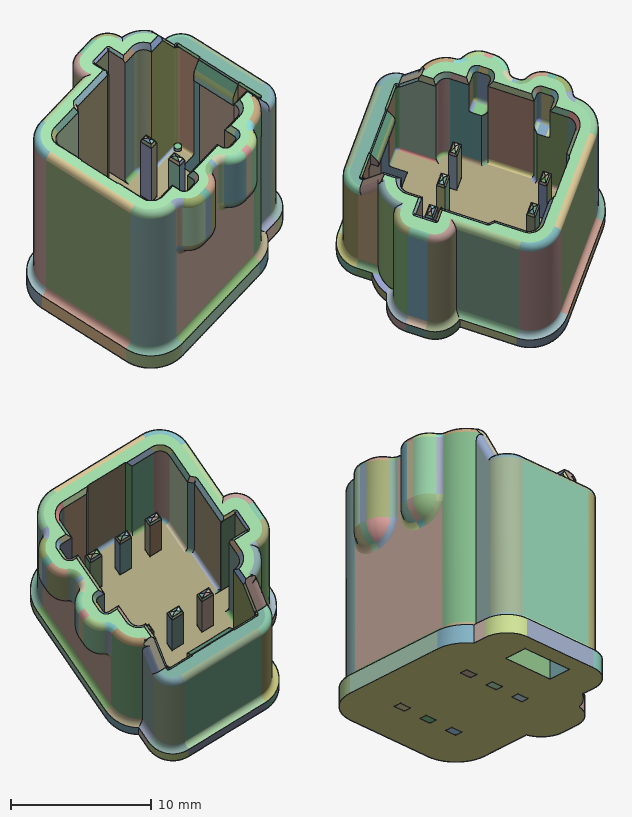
import cadquery as cq
import math

height = 18.0
rim_round = 0.5

flange_height = 1.5
flange_step = 0.5
foot_round = flange_step

main_half_x = 6.15
main_half_y = 6.85
main_corner = 2.35

tower_half_x = 4.87
tower_back = 9.7
tower_corner = 1.6
tower_top = 15.12
tower_slope = 60.0
slope_foot = tower_back - tower_corner
slope_head = slope_foot - (height - tower_top) / math.tan(math.radians(tower_slope))

ear_left = -7.75
ear_y = 2.58
ear_half_y = 2.33
ear_corner = 1.6

lobe_right = 7.35
lobe_y = 2.4
lobe_half_y = 1.92
lobe_corner = 1.6
lobe_bottom = 11.25
lobe_blend = 0.5

floor_z = 3.0
floor_round = 0.3
cavity_half_x = 4.6
cavity_half_y = 5.25
cavity_corner = 0.8
lead_in_width = 0.3
lead_in_height = 0.5

relief_depth = 0.35
side_relief_half = 1.75
front_relief_half = 1.6

pocket_half_x = 3.72
pocket_back = 8.24
pocket_corner = 0.28
pocket_chamfer = 0.15
pocket_floor_round = 0.2
post_height = 0.3

slot_left = -6.1
slot_half_y = 0.75
slot_chamfer = 0.2

groove_right = 5.75
groove_half_y = 0.655
groove_corner = 0.3
groove_floor = 12.25

latch_half_x = 1.78
latch_nose = 7.65
latch_bottom = 13.05
latch_ramp_foot = 8.33
latch_nose_round = 1.2
window_half_x = 2.19
window_front = 6.86
window_back = 8.85

pin_width = 1.0
pin_thickness = 0.64
pin_top = 10.0
pin_tip_inset = 0.1
pin_tip_inset_height = 0.3
pin_ridge_width = 0.15
pin_ridge_thickness = 0.03
pin_ridge_height = 0.15
pin_pitch = 2.54
pin_row_y = 3.4


fit_gap = 0.01


def block(x0, x1, y0, y1, z0, z1):
    """Axis-aligned box between opposite corners."""
    return cq.Workplane("XY").box(x1 - x0, y1 - y0, z1 - z0, centered=False).translate((x0, y0, z0))


def rounded_block(x0, x1, y0, y1, z0, z1, radius, corners="|Z"):
    """Box with the chosen vertical edges rounded."""
    return block(x0, x1, y0, y1, z0, z1).edges(corners).fillet(radius)


def flare(x0, x1, y0, y1, top, width, depth, radius=0.0):
    """Frustum that widens a pocket by `width` at height `top`."""
    sketch = cq.Sketch().rect(x1 - x0, y1 - y0)
    if radius:
        sketch = sketch.vertices().fillet(radius)
    angle = math.degrees(math.atan2(width, depth))
    base = cq.Workplane("XY", origin=((x0 + x1) / 2, (y0 + y1) / 2, top - depth))
    return base.placeSketch(sketch).extrude(depth, taper=-angle)


def footprint(grow, main_top, tower_height):
    """Main block, ear and tower joined, with their walls moved outward by `grow`."""
    half_x = main_half_x + grow
    half_y = main_half_y + grow
    main = rounded_block(-half_x, half_x, -half_y, half_y, 0, main_top, main_corner + grow)
    half_y = ear_half_y + grow
    ear = rounded_block(ear_left - grow, 0, ear_y - half_y, ear_y + half_y, 0, main_top,
                        ear_corner + grow, "|Z and <X")
    half_x = tower_half_x + grow
    tower = rounded_block(-half_x, half_x, 0, tower_back + grow, 0, tower_height,
                          tower_corner + grow, "|Z and >Y")
    return main.union(ear).union(tower)


def walls_and_flange():
    """Outer walls on their flange, with the concave fillet between them."""
    walls = footprint(0, height, tower_top)
    shape = footprint(flange_step, flange_height, flange_height).union(walls)

    def meets_walls(edge):
        middle = edge.positionAt(0.5)
        on_top = abs(middle.z - flange_height) < fit_gap
        return on_top and walls.val().distance(cq.Vertex.makeVertex(*middle.toTuple())) < fit_gap

    joint = [edge for edge in shape.edges("#Z").vals() if meets_walls(edge)]
    return shape.newObject(joint).fillet(foot_round - fit_gap)


def above_slope():
    """Space behind the slope that runs from the tower top up to the rim."""
    outline = [(slope_head, height), (slope_foot, tower_top), (slope_foot, height)]
    return cq.Workplane("YZ").polyline(outline).close().extrude(tower_half_x, both=True)


def slope_block():
    """Sloped block that joins the tower top to the rim, rounded along its sides."""
    body = block(-tower_half_x, tower_half_x, 0, slope_foot, flange_height, height)
    body = body.cut(above_slope())
    sides = body.edges("not (|X or |Y or |Z)").vals() + body.faces(">Z").edges("|Y").vals()
    return body.newObject(sides).fillet(rim_round)


def lobe(center_y):
    """Lobe on the +X wall with a rounded lower end."""
    body = rounded_block(0, lobe_right, center_y - lobe_half_y, center_y + lobe_half_y,
                         lobe_bottom, height, lobe_corner, "|Z and >X")
    return body.faces("<Z").edges("not <X").fillet(lobe_corner - fit_gap)


def on_lobe_joint(edge):
    """Whether an edge is where a lobe meets the main wall, below the rim."""
    middle = edge.positionAt(0.5)
    on_wall = abs(middle.x - main_half_x) < fit_gap
    below_rim = lobe_bottom - lobe_corner < middle.z < height - fit_gap
    return on_wall and abs(middle.y) < lobe_y + lobe_half_y and below_rim


def outside():
    """Housing without its cavity."""
    shape = walls_and_flange()
    for side in (-1, 1):
        shape = shape.union(lobe(side * lobe_y))
    joints = [edge for edge in shape.edges().vals() if on_lobe_joint(edge)]
    shape = shape.newObject(joints).fillet(lobe_blend)
    shape = shape.faces(">Z").edges().fillet(rim_round)
    tower_rim = cq.selectors.BoxSelector(
        (-tower_half_x - fit_gap, main_half_y, tower_top - fit_gap),
        (tower_half_x + fit_gap, tower_back + fit_gap, tower_top + fit_gap),
    )
    shape = shape.edges(tower_rim).fillet(rim_round)
    return shape.cut(above_slope()).union(slope_block())


def relief_outline(side_x, side_half, front_y, front_half):
    """Side reliefs and front relief as two outlines with 45 degree ends."""
    side_end = side_half + relief_depth
    wall_x = side_x - relief_depth
    sides = [
        (side_x, -side_half), (side_x, side_half), (wall_x, side_end),
        (-wall_x, side_end), (-side_x, side_half), (-side_x, -side_half),
        (-wall_x, -side_end), (wall_x, -side_end),
    ]
    front_end = front_half + relief_depth
    wall_y = front_y + relief_depth
    front = [
        (-front_half, front_y), (front_half, front_y), (front_end, wall_y),
        (front_end, 0), (-front_end, 0), (-front_end, wall_y),
    ]
    return sides, front


def prism(outline, z0, depth, taper=0.0):
    """Straight or tapered prism standing on `z0`."""
    return cq.Workplane("XY", origin=(0, 0, z0)).polyline(outline).close().extrude(depth, taper=taper)


lead_in_angle = math.degrees(math.atan2(lead_in_width, lead_in_height))
lead_in_z = height - lead_in_height


def groove_limits(side):
    """Extent in X and Y of the groove inside one lobe."""
    center_y = side * lobe_y
    return 0, groove_right, center_y - groove_half_y, center_y + groove_half_y


def cavity_walls():
    """Straight-walled cavity space with a rounded floor edge."""
    sides, front = relief_outline(cavity_half_x + relief_depth, side_relief_half,
                                  -cavity_half_y - relief_depth, front_relief_half)
    depth = height - floor_z
    space = rounded_block(-cavity_half_x, cavity_half_x, -cavity_half_y, cavity_half_y,
                          floor_z, height, cavity_corner)
    pocket = rounded_block(-pocket_half_x, pocket_half_x, 0, pocket_back, floor_z, height,
                           pocket_corner, "|Z and >Y")
    pocket = pocket.faces("<Z").edges("not <Y").fillet(pocket_floor_round)
    space = space.union(prism(sides, floor_z, depth)).union(prism(front, floor_z, depth))
    return space.faces("<Z").edges().fillet(floor_round).union(pocket)


def cavity():
    """Whole cavity space: walls, key slot, lobe grooves and the flare around the rim."""
    space = cavity_walls()
    slot = (slot_left, 0, ear_y - slot_half_y, ear_y + slot_half_y)
    space = space.union(block(*slot, floor_z, height))
    space = space.union(flare(*slot, height, slot_chamfer, slot_chamfer))
    for side in (-1, 1):
        limits = groove_limits(side)
        groove = rounded_block(*limits, groove_floor, height, groove_corner, "|Z and >X")
        space = space.union(groove.faces("<Z").edges("not <X").fillet(floor_round - fit_gap))
        space = space.union(flare(*limits, height, lead_in_width, lead_in_height, groove_corner))
    sides, _ = relief_outline(cavity_half_x + relief_depth, side_relief_half,
                              -cavity_half_y - relief_depth, front_relief_half)
    space = space.union(prism(sides, lead_in_z, lead_in_height, -lead_in_angle))
    space = space.union(flare(-cavity_half_x, cavity_half_x, -cavity_half_y, cavity_half_y,
                              height, lead_in_width, lead_in_height, cavity_corner))
    space = space.union(flare(-pocket_half_x, pocket_half_x, 0, pocket_back,
                              height, lead_in_width, lead_in_height))
    return space


def latch():
    """Bar across the back of the pocket with a ramp on top and a blunt nose."""
    ramp = math.radians(tower_slope)
    nose_top = tower_top - (latch_ramp_foot - latch_nose) * math.tan(ramp)
    outline = [
        (latch_nose, latch_bottom),
        (latch_nose, nose_top),
        (latch_ramp_foot, tower_top),
        (window_back + fit_gap, tower_top),
        (window_back + fit_gap, latch_bottom),
    ]
    bar = cq.Workplane("YZ").polyline(outline).close().extrude(latch_half_x, both=True)
    nose = cq.selectors.NearestToPointSelector((0, latch_nose, nose_top))
    return bar.edges("|X").edges(nose).fillet(latch_nose_round)


def window():
    """Opening through the floor, below and behind the latch bar."""
    return block(-window_half_x, window_half_x, window_front, window_back, 0, latch_bottom)


def corner_post():
    """Low round pad in one back corner of the pocket, over the floor fillet."""
    center_x = pocket_corner - pocket_half_x
    center_y = pocket_back - pocket_corner
    pad = cq.Workplane("XY", origin=(center_x, center_y, floor_z - fit_gap))
    return pad.circle(pocket_corner).extrude(post_height + fit_gap)


def pocket_rim_chamfer():
    """Small chamfer around the pocket where it opens through the tower top and the slope."""
    flat = flare(-pocket_half_x, pocket_half_x, slope_foot - pocket_back / 2, pocket_back,
                 tower_top, pocket_chamfer, pocket_chamfer)
    flat = flat.cut(block(-tower_half_x, tower_half_x, 0, slope_foot, 0, height))
    ramp = math.radians(tower_slope)
    up_slope = cq.Plane(origin=(0, slope_foot, tower_top), xDir=(1, 0, 0),
                        normal=(0, -math.cos(ramp), math.sin(ramp)))
    outer_x = pocket_half_x + pocket_chamfer
    outline = [
        (-pocket_half_x, -pocket_chamfer),
        (pocket_half_x, -pocket_chamfer),
        (outer_x, 0),
        (-outer_x, 0),
    ]
    slope_length = (height - tower_top) / math.sin(ramp)
    sloped = cq.Workplane(up_slope).polyline(outline).close().extrude(slope_length)
    return flat.union(sloped)


def housing():
    """Complete housing with a matching hole for every pin."""
    body = outside().cut(cavity())
    body = body.cut(pocket_rim_chamfer())
    body = body.union(latch()).cut(window()).union(corner_post())
    for spot in pin_spots:
        body = body.cut(pin_shank(spot))
    return body


pin_spots = [(column * pin_pitch, row * pin_row_y) for row in (-1, 1) for column in (-1, 0, 1)]


def pin_shank(spot):
    """Straight part of a pin, from the underside up to its tip."""
    shank_height = pin_top - pin_tip_inset_height - pin_ridge_height
    return cq.Workplane("XY").center(*spot).rect(pin_width, pin_thickness).extrude(shank_height)


def pin_taper(body, start, end, rise):
    """Add a taper from the `start` to the `end` rectangle on top of `body`."""
    top = body.faces(">Z").workplane(centerOption="CenterOfBoundBox")
    return body.union(top.rect(*start).workplane(offset=rise).rect(*end).loft(combine=False))


def pin(spot):
    """Rectangular pin, flush with the underside, with a tip that tapers in two steps."""
    full = (pin_width, pin_thickness)
    inset = (pin_width - 2 * pin_tip_inset, pin_thickness - 2 * pin_tip_inset)
    ridge = (pin_ridge_width, pin_ridge_thickness)
    body = pin_taper(pin_shank(spot), full, inset, pin_tip_inset_height)
    return pin_taper(body, inset, ridge, pin_ridge_height)


result = cq.Compound.makeCompound([housing().val(), *[pin(spot).val() for spot in pin_spots]])